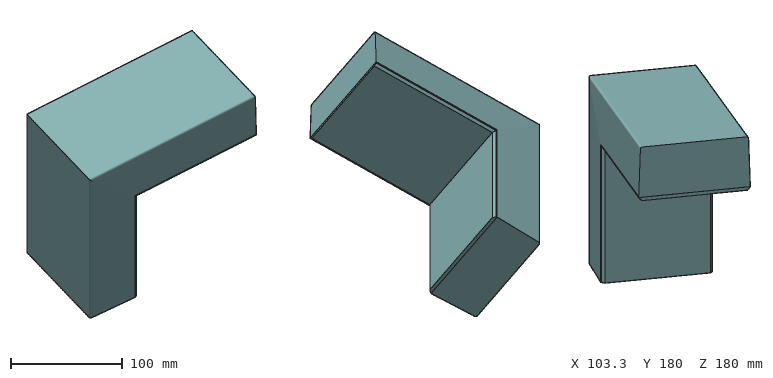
import cadquery as cq
import math

leg_length = 180.0
max_width = 103.3
cover_depth = 48.2
base_thickness = 3.2
draft_angle = 2.0
outer_radius = 2.0
base_chamfer = 2.3
base_inset = 0.5

half_leg = leg_length / 2
seam_half_width = max_width / 2
outer_half_width = seam_half_width - cover_depth * math.tan(math.radians(draft_angle))
base_half_width = seam_half_width - base_inset
inner_depth = cover_depth + base_thickness


def sweep_elbow(profile):
    """Sweep a section, drawn at the foot of the upright leg, along the mitred elbow."""
    path = (
        cq.Workplane("YZ")
        .moveTo(-half_leg, -half_leg)
        .lineTo(-half_leg, half_leg)
        .lineTo(half_leg, half_leg)
    )
    return profile.sweep(path, transition="right")


def section_plane():
    """Section plane: local x runs across the elbow, local y is depth from the outer face."""
    return cq.Workplane("XY", origin=(0, -half_leg, -half_leg))


def make_cover():
    """Drafted solid body with rounded outer edges."""
    tangent_length = outer_radius * math.tan(math.radians(90 - draft_angle) / 2)
    tangent_x = outer_half_width + tangent_length * math.sin(math.radians(draft_angle))
    tangent_y = tangent_length * math.cos(math.radians(draft_angle))
    flat_half_width = outer_half_width - tangent_length
    profile = (
        section_plane()
        .moveTo(-flat_half_width, 0)
        .lineTo(flat_half_width, 0)
        .radiusArc((tangent_x, tangent_y), -outer_radius)
        .lineTo(seam_half_width, cover_depth)
        .lineTo(-seam_half_width, cover_depth)
        .lineTo(-tangent_x, tangent_y)
        .radiusArc((-flat_half_width, 0), -outer_radius)
        .close()
    )
    return sweep_elbow(profile)


def make_base():
    """Backing plate on the inner side of the cover, with bevelled inner edges."""
    flat_half_width = base_half_width - base_chamfer
    bevel_start = inner_depth - base_chamfer
    profile = (
        section_plane()
        .moveTo(-base_half_width, cover_depth)
        .lineTo(base_half_width, cover_depth)
        .lineTo(base_half_width, bevel_start)
        .lineTo(flat_half_width, inner_depth)
        .lineTo(-flat_half_width, inner_depth)
        .lineTo(-base_half_width, bevel_start)
        .close()
    )
    return sweep_elbow(profile)


cover = make_cover()
base = make_base()

result = cq.Compound.makeCompound([cover.val(), base.val()])